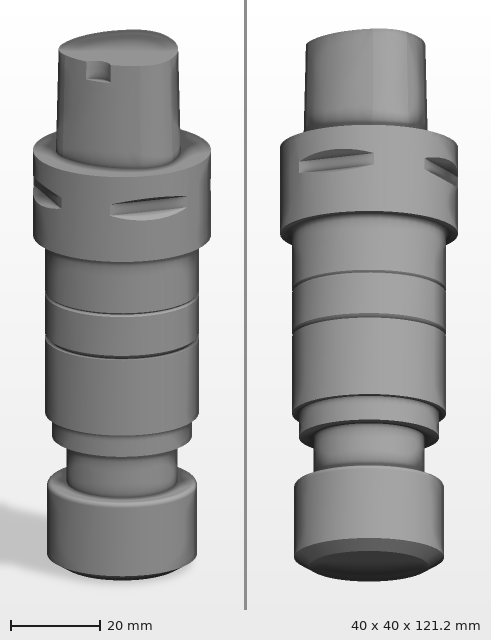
import cadquery as cq
import math


shank_height = 24.0
lobe_count = 3
lobe_center_radius = 6.2
lobe_radius = 8.65
shank_draft = math.degrees(math.atan(1 / 40))

notch_radius = 3.5
notch_center_y = -14.2
notch_depth = 4.2

flange_radius = 20.0
flange_height = 20.0
groove_floor_distance = 17.75
groove_floor_width = 2.6
groove_center_z = -7.85
groove_wall_angle = 30.0
groove_count = 4
first_groove_angle = 45.0

body_radius = 34.6 / 2
body_length = 41.8
flange_root_fillet = 1.0
v_groove_offset = 13.4
v_groove_depth = 0.45
seam_offset = 23.0
seam_radius = 32.54 / 2
shoulder_radius = 31.47 / 2
shoulder_length = 5.5
neck_radius = 24.87 / 2
neck_length = 10.7

nut_radius = 33.7 / 2
nut_length = 19.2
nut_top_fillet = 1.0
nut_nose_radius = 13.4
nut_nose_height = 2.1

flange_bottom = -flange_height
v_groove_z = flange_bottom - v_groove_offset
seam_top = flange_bottom - seam_offset
seam_bottom = seam_top - (body_radius - seam_radius)
body_bottom = flange_bottom - body_length
shoulder_bottom = body_bottom - shoulder_length
nut_top = shoulder_bottom - neck_length
nut_bottom = nut_top - nut_length


def polar(radius, angle):
    """Point at a radius and an angle in degrees."""
    return (
        radius * math.cos(math.radians(angle)),
        radius * math.sin(math.radians(angle)),
    )


def polar_from(center, radius, angle):
    """Point at a radius and an angle in degrees about a given center."""
    dx, dy = polar(radius, angle)
    return (center[0] + dx, center[1] + dy)


def make_shank():
    """Three lobe arcs joined tangentially by three flank arcs, drawn in towards the tip.

    Each flank arc is centered on the opposite lobe center.
    """
    flank_radius = lobe_radius + math.sqrt(3) * lobe_center_radius
    lobe_pitch = 360 / lobe_count
    lobe_half_angle = lobe_pitch / 4
    flank_offset = lobe_pitch / 2
    first_lobe_angle = 90
    start_center = polar(lobe_center_radius, first_lobe_angle)
    start = polar_from(start_center, lobe_radius, first_lobe_angle - lobe_half_angle)
    profile = cq.Workplane("XY").moveTo(*start)
    for index in range(lobe_count):
        lobe_angle = first_lobe_angle + index * lobe_pitch
        lobe_center = polar(lobe_center_radius, lobe_angle)
        profile = profile.threePointArc(
            polar_from(lobe_center, lobe_radius, lobe_angle),
            polar_from(lobe_center, lobe_radius, lobe_angle + lobe_half_angle),
        )
        flank_angle = lobe_angle + flank_offset
        flank_center = polar(lobe_center_radius, flank_angle + 180)
        profile = profile.threePointArc(
            polar_from(flank_center, flank_radius, flank_angle),
            polar_from(flank_center, flank_radius, flank_angle + lobe_half_angle),
        )
    return profile.close().extrude(shank_height, taper=shank_draft)


def make_notch():
    """Round-backed key notch, open at the tip and on the -Y flank."""
    return (
        cq.Workplane("XY")
        .workplane(offset=shank_height - notch_depth)
        .center(0, notch_center_y)
        .circle(notch_radius)
        .extrude(notch_depth)
    )


def make_turned_body():
    """Flange, body, neck and nut as one revolved outline.

    The body carries a 45-degree V groove and, at the seam between its two halves,
    a 45-degree cone that ends at a square step.
    """
    outline = (
        cq.Workplane("XZ")
        .lineTo(flange_radius, 0)
        .lineTo(flange_radius, flange_bottom)
        .lineTo(body_radius + flange_root_fillet, flange_bottom)
        .tangentArcPoint((body_radius, flange_bottom - flange_root_fillet), relative=False)
        .lineTo(body_radius, v_groove_z + v_groove_depth)
        .lineTo(body_radius - v_groove_depth, v_groove_z)
        .lineTo(body_radius, v_groove_z - v_groove_depth)
        .lineTo(body_radius, seam_top)
        .lineTo(seam_radius, seam_bottom)
        .lineTo(body_radius, seam_bottom)
        .lineTo(body_radius, body_bottom)
        .lineTo(shoulder_radius, body_bottom)
        .lineTo(shoulder_radius, shoulder_bottom)
        .lineTo(neck_radius, shoulder_bottom)
        .lineTo(neck_radius, nut_top)
        .lineTo(nut_radius - nut_top_fillet, nut_top)
        .tangentArcPoint((nut_radius, nut_top - nut_top_fillet), relative=False)
        .lineTo(nut_radius, nut_bottom + nut_nose_height)
        .lineTo(nut_nose_radius, nut_bottom)
        .lineTo(0, nut_bottom)
        .close()
    )
    return outline.revolve(360, (0, 0), (0, 1))


def make_gripper_groove(angle):
    """Straight trapezoidal groove across the flange rim, centered on the given angle."""
    depth = flange_radius - groove_floor_distance
    floor_half = groove_floor_width / 2
    mouth_half = floor_half + depth * math.tan(math.radians(groove_wall_angle))
    section = [
        (groove_floor_distance, groove_center_z - floor_half),
        (flange_radius, groove_center_z - mouth_half),
        (flange_radius, groove_center_z + mouth_half),
        (groove_floor_distance, groove_center_z + floor_half),
    ]
    return (
        cq.Workplane("XZ")
        .polyline(section)
        .close()
        .extrude(flange_radius, both=True)
        .rotate((0, 0, 0), (0, 0, 1), angle)
    )


result = make_turned_body().union(make_shank().cut(make_notch()))
for groove_index in range(groove_count):
    groove_angle = first_groove_angle + groove_index * 360 / groove_count
    result = result.cut(make_gripper_groove(groove_angle))